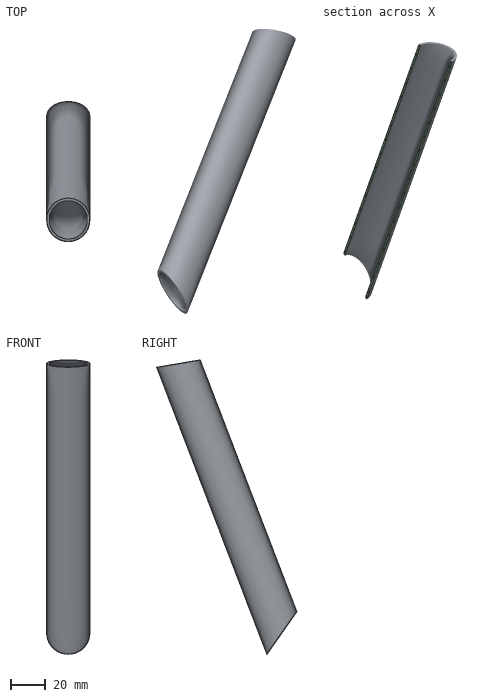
import cadquery as cq
import math

outer_diameter = 25.0
wall_thickness = 1.5
inner_diameter = outer_diameter - 2 * wall_thickness

axis_length = 167.05
tilt_angle = 21.0

top_slope = 9.6
bottom_slope = 55.0


def side_point(along_axis, end_slope, side):
    """Point (y, z) where a mitred end meets the tube side: -1 toward -Y, +1 toward +Y."""
    tilt = math.radians(tilt_angle)
    slope = math.radians(end_slope)
    half_edge = outer_diameter / 2 / math.cos(slope - tilt)
    y = -along_axis * math.sin(tilt) + side * half_edge * math.cos(slope)
    z = along_axis * math.cos(tilt) + side * half_edge * math.sin(slope)
    return (y, z)


def make_long_tube():
    """Square-ended tube along the tilted axis, running past both mitres."""
    overrun = 2 * outer_diameter
    return (
        cq.Workplane("XY")
        .circle(outer_diameter / 2)
        .circle(inner_diameter / 2)
        .extrude(axis_length + 2 * overrun)
        .translate((0, 0, -overrun))
        .rotate((0, 0, 0), (1, 0, 0), tilt_angle)
    )


def make_mitre_envelope():
    """Prism along X with the tube's side profile, bounded by the two mitred ends."""
    profile = [
        side_point(0, bottom_slope, -1),
        side_point(0, bottom_slope, 1),
        side_point(axis_length, top_slope, 1),
        side_point(axis_length, top_slope, -1),
    ]
    return cq.Workplane("YZ").polyline(profile).close().extrude(outer_diameter, both=True)


result = make_long_tube().intersect(make_mitre_envelope())